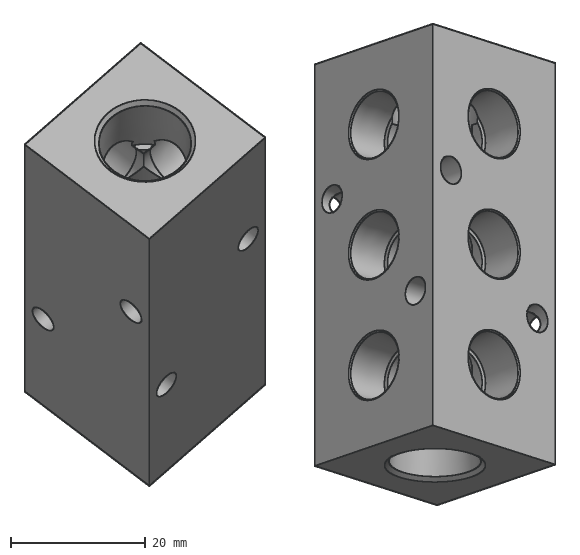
import cadquery as cq

side = 25.4
height = 63.5
half_side = side / 2

port_taper = 1 / 16

bore_diameter = 11.1
end_port_diameter = 13.8
end_port_depth = 10.05
end_mouth_diameter = 15.05

outlet_diameter = 10.35
outlet_depth = 7.0
outlet_mouth_diameter = 10.8
outlet_drill_diameter = 8.5
outlet_pitch = 19.05

mount_diameter = 4.3
mount_offset = 8.95

mid_height = height / 2
outlet_heights = [mid_height + step * outlet_pitch for step in (-1, 0, 1)]


def cylinder(start, direction, diameter, length):
    return cq.Workplane(
        cq.Solid.makeCylinder(diameter / 2, length, cq.Vector(*start), cq.Vector(*direction))
    )


def cone(start, direction, start_diameter, end_diameter, length):
    return cq.Workplane(
        cq.Solid.makeCone(
            start_diameter / 2, end_diameter / 2, length, cq.Vector(*start), cq.Vector(*direction)
        )
    )


def port(start, direction, diameter, depth, mouth_diameter):
    """Flat-bottomed tapered hole with a 45 degree chamfer at its mouth."""
    floor_diameter = diameter - port_taper * depth
    chamfer = (mouth_diameter - diameter) / 2
    mouth = cone(start, direction, mouth_diameter, diameter, chamfer)
    return cone(start, direction, diameter, floor_diameter, depth).union(mouth)


def outlet(start, direction):
    """Stepped hole running from a side face to the axis of the main bore."""
    drill = cylinder(start, direction, outlet_drill_diameter, half_side)
    return port(start, direction, outlet_diameter, outlet_depth, outlet_mouth_diameter).union(drill)


result = cq.Workplane("XY").box(side, side, height, centered=(True, True, False))

result = result.cut(cylinder((0, 0, 0), (0, 0, 1), bore_diameter, height))
for z, inward in ((0, 1), (height, -1)):
    result = result.cut(
        port((0, 0, z), (0, 0, inward), end_port_diameter, end_port_depth, end_mouth_diameter)
    )

for z in outlet_heights:
    result = result.cut(outlet((-half_side, 0, z), (1, 0, 0)))
    result = result.cut(outlet((0, half_side, z), (0, -1, 0)))

for sign in (-1, 1):
    offset = sign * mount_offset
    z = mid_height + sign * outlet_pitch / 2
    result = result.cut(cylinder((-half_side, offset, z), (1, 0, 0), mount_diameter, side))
    result = result.cut(cylinder((offset, -half_side, z), (0, 1, 0), mount_diameter, side))